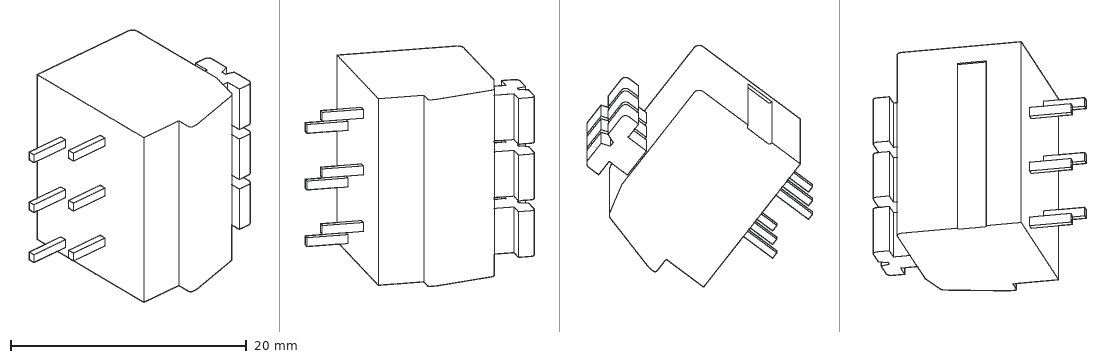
import cadquery as cq

overall_y = 18
housing_length = 16.5
base_width = 13.52
lip_edge_x = 15.0
button_face_y = 10.95
lip_bottom_y = 4.0
lip_edge_top_y = 4.68
bevel_start_x = 10.62
bevel_corner_x = 13.48
bevel_corner_y = 10.19
corner_radius = 0.55
bevel_radius = 0.5
lip_radius = 0.22
lip_blend_radius = 2.2

pole_count = 3
pole_pitch = 5.0
pins_per_pole = 2
pin_pitch = pole_pitch / pins_per_pole

pin_width = 0.6
pin_height = 0.8
pin_length = 3.6
first_pin_x = 3.3
first_pin_z = 1.26

button_height = overall_y - button_face_y - pin_length
button_thickness = 4.05
first_button_z = 0.85
button_center_x = 8.51
head_width = 5.58
head_height = 1.51
head_radius = 0.47
stem_width = 2.65
notch_top_width = 0.97
notch_bottom_width = 0.41
notch_depth = 0.77

groove_length = 15.03
groove_center_y = 4.32
groove_width = 2.52
groove_depth = 0.25
groove_floor_radius = 0.22


def make_housing():
    outline = [
        (0, 0),
        (base_width, 0),
        (base_width, lip_bottom_y),
        (lip_edge_x, lip_bottom_y),
        (lip_edge_x, lip_edge_top_y),
        (bevel_corner_x, bevel_corner_y),
        (bevel_start_x, button_face_y),
        (0, button_face_y),
    ]

    def edge_at(body, x, y):
        return body.edges(cq.selectors.NearestToPointSelector((x, y, housing_length / 2)))

    body = cq.Workplane("XY").polyline(outline).close().extrude(housing_length)
    body = edge_at(body, 0, button_face_y).fillet(corner_radius)
    body = edge_at(body, bevel_corner_x, bevel_corner_y).fillet(bevel_radius)
    body = edge_at(body, lip_edge_x, lip_edge_top_y).fillet(lip_blend_radius)
    return edge_at(body, lip_edge_x, lip_bottom_y).fillet(lip_radius)


def make_groove():
    return (
        cq.Workplane("XY")
        .center(groove_depth / 2, groove_center_y)
        .rect(groove_depth, groove_width)
        .extrude(groove_length)
        .edges("|Z and >X")
        .fillet(groove_floor_radius)
    )


def make_pin(index):
    x = first_pin_x + (index % pins_per_pole) * pole_pitch
    z = first_pin_z + index * pin_pitch
    return (
        cq.Workplane("XZ")
        .center(x, z)
        .rect(pin_width, pin_height)
        .extrude(pin_length)
    )


def make_button(index):
    half_head = head_width / 2
    half_stem = stem_width / 2
    head_bottom = button_height - head_height
    notch_bottom = button_height - notch_depth
    right_half = [
        (half_stem, 0),
        (half_stem, head_bottom),
        (half_head, head_bottom),
        (half_head, button_height),
        (notch_top_width / 2, button_height),
        (notch_bottom_width / 2, notch_bottom),
    ]
    left_half = [(-x, y) for x, y in reversed(right_half)]
    button = (
        cq.Workplane("XY")
        .polyline(right_half + left_half)
        .close()
        .extrude(button_thickness)
    )
    for x in (-half_head, half_head):
        outer_corner = cq.selectors.NearestToPointSelector((x, button_height, button_thickness / 2))
        button = button.edges(outer_corner).fillet(head_radius)
    return button.translate((button_center_x, button_face_y, first_button_z + index * pole_pitch))


result = make_housing().cut(make_groove())
for pole in range(pole_count):
    result = result.union(make_button(pole))
for pin in range(pins_per_pole * pole_count):
    result = result.union(make_pin(pin))